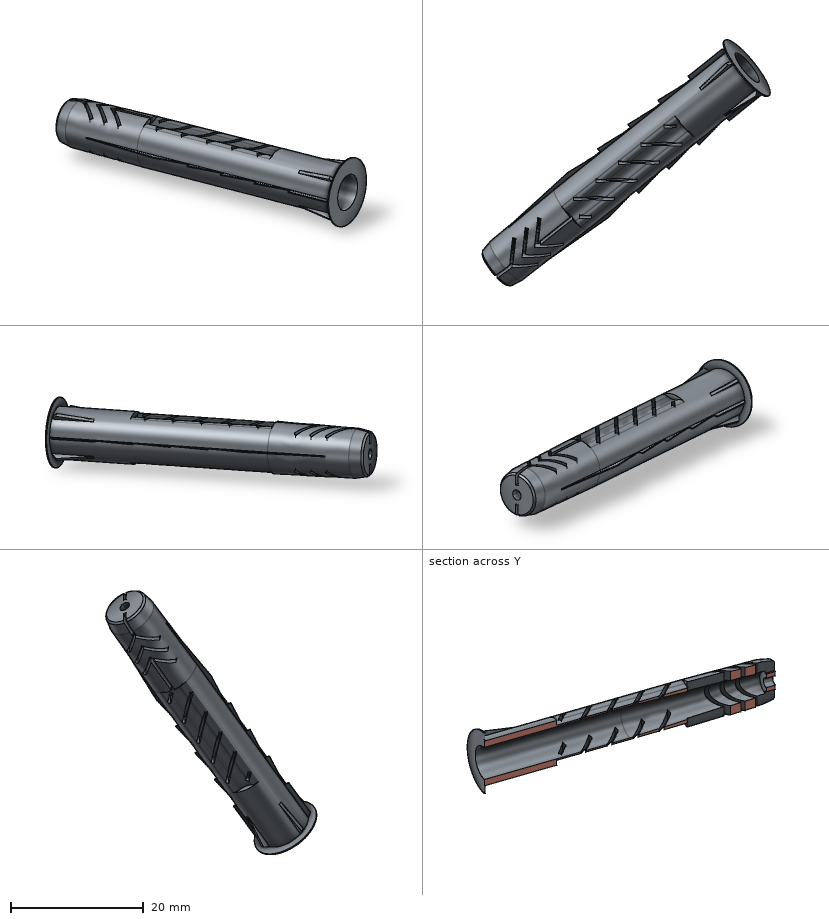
import cadquery as cq
import math


length = 50.0
collar_radius = 10.7 / 2
collar_thickness = 0.2

body_radius = 4.0
nose_bevel = 0.3
nose_bevel_radius = 3.45
nose_face_radius = nose_bevel_radius - nose_bevel
nose_length = 2.1
nose_end_radius = 3.8
taper_end = 15.0

pilot_radius = 1.6 / 2
nose_wall = 1.6
inner_bore_radius = 2.0
entry_bore_radius = 5.6 / 2
entry_bore_start = 25.0

chevron_count = 3
chevron_pitch = 2.5
chevron_apex = 3.05
chevron_reach = 3.0
chevron_half_height = 2.75
chevron_width = 0.45
split_width = 0.5
split_floor = 1.6

pocket_start = taper_end
pocket_end = 37.5
pocket_half_width = 2.2
pocket_edge_height = math.sqrt(body_radius**2 - pocket_half_width**2)
valley_half_width = 0.95
valley_depth = 0.2
ridge_rise = 0.175
slant_pitch = 4.5
slant_run = 4.7
slant_half_height = 2.0
slant_width = 0.5
slant_count = 6
short_slant_limit = 0.8

fin_start = 5.9
fin_start_radius = 3.95
fin_radius = 4.75
fin_thickness = 0.15
tooth_pitch = 6.0
fin_peak = 18.35
tooth_count = 4

rib_start = 43.15
rib_radius = 4.85
rib_width = 0.5
rib_count = 4
first_rib_angle = 45.0

collar_start = length - collar_thickness
fin_end = collar_start - (fin_radius - body_radius)
rib_end = collar_start - (rib_radius - body_radius)


def box(x_start, x_end, width, z_start, z_end):
    """Box centred on Y between the given X and Z limits."""
    return (
        cq.Workplane("XY")
        .box(x_end - x_start, width, z_end - z_start, centered=(False, True, False))
        .translate((x_start, 0, z_start))
    )


def slot_between(start, end, width):
    """Square-ended slot cutter along a line in XY, through the part in Z."""
    run = end[0] - start[0]
    rise = end[1] - start[1]
    middle = ((start[0] + end[0]) / 2, (start[1] + end[1]) / 2, 0)
    return (
        cq.Workplane("XY")
        .box(math.hypot(run, rise), width, 2 * collar_radius)
        .rotate((0, 0, 0), (0, 0, 1), math.degrees(math.atan2(rise, run)))
        .translate(middle)
    )


def make_sleeve():
    """Solid of revolution: bevelled nose, slight taper, straight sleeve and collar."""
    return (
        cq.Workplane("XY")
        .polyline([
            (0, 0),
            (0, nose_face_radius),
            (nose_bevel, nose_bevel_radius),
            (nose_length, nose_end_radius),
            (taper_end, body_radius),
            (collar_start, body_radius),
            (collar_start, collar_radius),
            (length, collar_radius),
            (length, 0),
        ])
        .close()
        .revolve(360, (0, 0, 0), (1, 0, 0))
    )


def make_fin():
    """Thin fin on +Y with a rising ramp, saw teeth and a bevel at the collar."""
    points = [(fin_start, 0), (fin_start, fin_start_radius), (fin_peak, fin_radius)]
    for tooth in range(1, tooth_count + 1):
        tooth_x = fin_peak + tooth * tooth_pitch
        points += [(tooth_x, body_radius), (tooth_x, fin_radius)]
    points += [(fin_end, fin_radius), (collar_start, body_radius), (collar_start, 0)]
    return cq.Workplane("XY").polyline(points).close().extrude(fin_thickness / 2, both=True)


def make_rib(angle):
    """Rib that widens towards the collar, turned about X from +Y by the angle."""
    return (
        cq.Workplane("XY")
        .polyline([
            (rib_start, 0),
            (rib_start, body_radius),
            (rib_end, rib_radius),
            (collar_start, body_radius),
            (collar_start, 0),
        ])
        .close()
        .extrude(rib_width / 2, both=True)
        .rotate((0, 0, 0), (1, 0, 0), angle)
    )


def make_bore():
    """Pilot hole through the nose wall, then a widening bore that runs straight to the collar."""
    return (
        cq.Workplane("XY")
        .polyline([
            (0, 0),
            (0, pilot_radius),
            (nose_wall, pilot_radius),
            (nose_wall, inner_bore_radius),
            (entry_bore_start, entry_bore_radius),
            (length, entry_bore_radius),
            (length, 0),
        ])
        .close()
        .revolve(360, (0, 0, 0), (1, 0, 0))
    )


def make_pocket():
    """Pocket cutter on +Z whose floor is two ridges with a valley between them."""
    ridge_y = (pocket_half_width + valley_half_width) / 2
    ridge_z = pocket_edge_height + ridge_rise
    return (
        cq.Workplane("YZ", origin=(pocket_start, 0, 0))
        .moveTo(-pocket_half_width, pocket_edge_height)
        .threePointArc((-ridge_y, ridge_z), (-valley_half_width, pocket_edge_height))
        .threePointArc((0, pocket_edge_height - valley_depth), (valley_half_width, pocket_edge_height))
        .threePointArc((ridge_y, ridge_z), (pocket_half_width, pocket_edge_height))
        .lineTo(pocket_half_width, collar_radius)
        .lineTo(-pocket_half_width, collar_radius)
        .close()
        .extrude(pocket_end - pocket_start)
    )


def make_chevron(apex_x):
    """V-shaped slot cutter with a sharp apex and square arm ends, through the part in Z."""
    slope = math.atan2(chevron_half_height, chevron_reach)
    apex_shift = chevron_width / 2 / math.sin(slope)
    end_shift_x = chevron_width / 2 * math.sin(slope)
    end_shift_y = chevron_width / 2 * math.cos(slope)
    end_x = apex_x + chevron_reach
    outer_end = (end_x - end_shift_x, chevron_half_height + end_shift_y)
    inner_end = (end_x + end_shift_x, chevron_half_height - end_shift_y)
    return (
        cq.Workplane("XY")
        .polyline([
            (apex_x - apex_shift, 0),
            outer_end,
            inner_end,
            (apex_x + apex_shift, 0),
            (inner_end[0], -inner_end[1]),
            (outer_end[0], -outer_end[1]),
        ])
        .close()
        .extrude(collar_radius, both=True)
    )


sleeve = make_sleeve()

fin = make_fin()
sleeve = sleeve.union(fin).union(fin.mirror("XZ"))
for rib in range(rib_count):
    sleeve = sleeve.union(make_rib(first_rib_angle + rib * 360 / rib_count))

sleeve = sleeve.cut(make_bore())

pocket = make_pocket()
sleeve = sleeve.cut(pocket).cut(pocket.mirror("XY"))

run_per_height = slant_run / (2 * slant_half_height)
first_slant_x = (pocket_start + pocket_end - (slant_count - 1) * slant_pitch) / 2
for slant in range(slant_count):
    centre_x = first_slant_x + slant * slant_pitch
    low_y = short_slant_limit if slant == 0 else -slant_half_height
    high_y = -short_slant_limit if slant == slant_count - 1 else slant_half_height
    low_end = (centre_x + low_y * run_per_height, low_y)
    high_end = (centre_x + high_y * run_per_height, high_y)
    sleeve = sleeve.cut(slot_between(low_end, high_end, slant_width))

for chevron in range(chevron_count):
    sleeve = sleeve.cut(make_chevron(chevron_apex + chevron * chevron_pitch))

last_apex = chevron_apex + (chevron_count - 1) * chevron_pitch
for z_start, z_end in ((split_floor, collar_radius), (-collar_radius, -split_floor)):
    sleeve = sleeve.cut(box(0, chevron_apex, split_width, z_start, z_end))
    sleeve = sleeve.cut(box(last_apex, taper_end, split_width, z_start, z_end))

result = sleeve